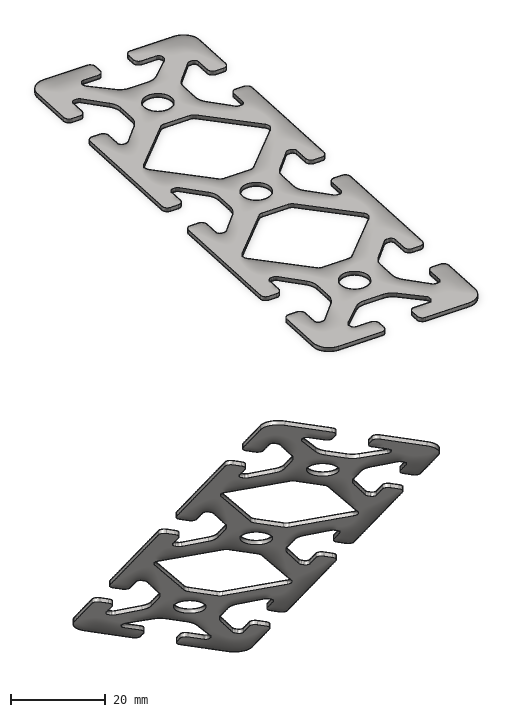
import cadquery as cq

length = 120.0
cell_count = 3
cell = length / cell_count
half_cell = cell / 2
thickness = 1.0
corner_radius = 4.0

bore_diameter = 6.8
hub_half = 7.8

opening_half = 4.1
lip_depth = 4.5
undercut_half = 10.0
undercut_wall = 1.9
slot_floor_half = 3.8
undercut_radius = 1.0
floor_radius = 4.0
lip_radius = 1.3

window_reach = 16.1
window_radius = 1.5

hub_xs = [(i - (cell_count - 1) / 2) * cell for i in range(cell_count)]
window_xs = [x + half_cell for x in hub_xs[:-1]]


def prism(points):
    """Plate-thick prism over a closed outline."""
    return cq.Workplane("XY").polyline(points).close().extrude(thickness)


def round_corners(body, corners, radius):
    """Fillet the upright edges standing on the given (x, y) corners."""
    edges = []
    for x, y in corners:
        middle = (x, y, thickness / 2)
        edges += body.edges(cq.selectors.NearestToPointSelector(middle)).vals()
    return body.newObject(edges).fillet(radius)


def slot_points():
    """T-slot outline on a cell centred at the origin, opening toward +Y."""
    lip_y = half_cell - lip_depth
    right = [
        (opening_half, half_cell),
        (opening_half, lip_y),
        (undercut_half, lip_y),
        (undercut_half, lip_y - undercut_wall),
        (slot_floor_half, hub_half),
    ]
    left = [(-x, y) for x, y in reversed(right)]
    return right + left


def place(points, quarter_turns, center_x):
    """Turn points about the origin by quarter turns, then move them along X."""
    for _ in range(quarter_turns):
        points = [(-y, x) for x, y in points]
    return [(x + center_x, y) for x, y in points]


def cut_slot(body, quarter_turns, center_x):
    """Cut one turned slot and round its lips, undercuts and floor corners."""
    points = place(slot_points(), quarter_turns, center_x)
    lips = points[:2] + points[-2:]
    undercut = points[2:4] + points[6:8]
    floor = points[4:6]
    body = body.cut(prism(points))
    body = round_corners(body, lips, lip_radius)
    body = round_corners(body, undercut, undercut_radius)
    return round_corners(body, floor, floor_radius)


def window(center_x):
    """Diamond prism with its left and right tips cut flat and all corners rounded."""
    flat_x = half_cell - hub_half
    flat_y = window_reach - flat_x
    outline = [
        (center_x, window_reach),
        (center_x + flat_x, flat_y),
        (center_x + flat_x, -flat_y),
        (center_x, -window_reach),
        (center_x - flat_x, -flat_y),
        (center_x - flat_x, flat_y),
    ]
    return round_corners(prism(outline), outline, window_radius)


result = cq.Workplane("XY").box(length, cell, thickness, centered=(True, True, False))
result = result.edges("|Z").fillet(corner_radius)

for hub_x in hub_xs:
    for turns in (0, 2):
        result = cut_slot(result, turns, hub_x)

result = cut_slot(result, 1, hub_xs[0])
result = cut_slot(result, 3, hub_xs[-1])

for window_x in window_xs:
    result = result.cut(window(window_x))

bores = (
    cq.Workplane("XY")
    .pushPoints([(x, 0) for x in hub_xs])
    .circle(bore_diameter / 2)
    .extrude(thickness)
)
result = result.cut(bores)